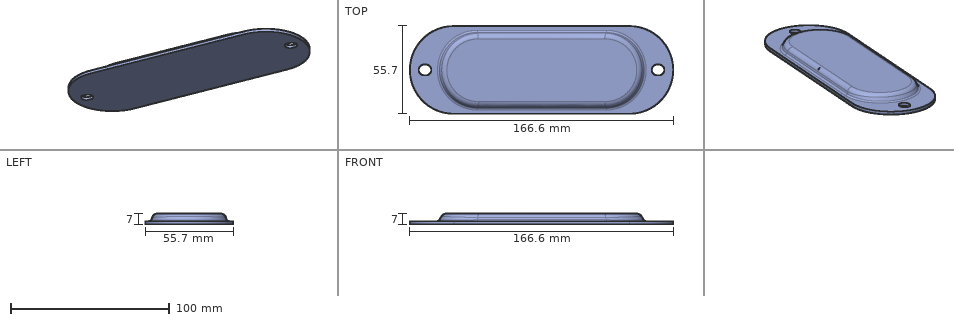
import cadquery as cq

plate_length = 166.6
plate_width = 55.7
plate_thickness = 2.2

total_height = 7.0
cover_base_half_width = 24.2
cover_base_arc_center = 41.0
cover_top_half_width = 22.5
cover_top_arc_center = 39.7
cover_top_fillet = 3.8
cover_foot_fillet = 1.5
foot_pick_margin = 0.2

hole_offset = 73.6
hole_length = 7.8
hole_width = 6.7


def stadium(plane, height, arc_center, half_width):
    """Outline with straight sides along X and half-circle ends, at a given height."""
    return plane.workplane(offset=height).slot2D(2 * (arc_center + half_width), 2 * half_width)


def make_plate():
    return cq.Workplane("XY").slot2D(plate_length, plate_width).extrude(plate_thickness)


def make_cover():
    """Tapered cover whose ends slope more than its sides, with a rounded top rim."""
    base = stadium(cq.Workplane("XY"), plate_thickness, cover_base_arc_center, cover_base_half_width)
    rise = total_height - plate_thickness
    cover = stadium(base, rise, cover_top_arc_center, cover_top_half_width).loft(ruled=True)
    return cover.faces(">Z").edges().fillet(cover_top_fillet)


def foot_edges(body):
    """Edges where the cover wall meets the upper face of the plate."""
    reach_x = cover_base_arc_center + cover_base_half_width + foot_pick_margin
    reach_y = cover_base_half_width + foot_pick_margin
    selector = cq.selectors.BoxSelector(
        (-reach_x, -reach_y, plate_thickness - foot_pick_margin),
        (reach_x, reach_y, plate_thickness + foot_pick_margin),
        boundingbox=True,
    )
    return body.edges(selector)


def make_holes():
    return (
        cq.Workplane("XY")
        .pushPoints([(-hole_offset, 0), (hole_offset, 0)])
        .slot2D(hole_length, hole_width)
        .extrude(plate_thickness)
    )


body = make_plate().union(make_cover())
body = foot_edges(body).fillet(cover_foot_fillet)
result = body.cut(make_holes())